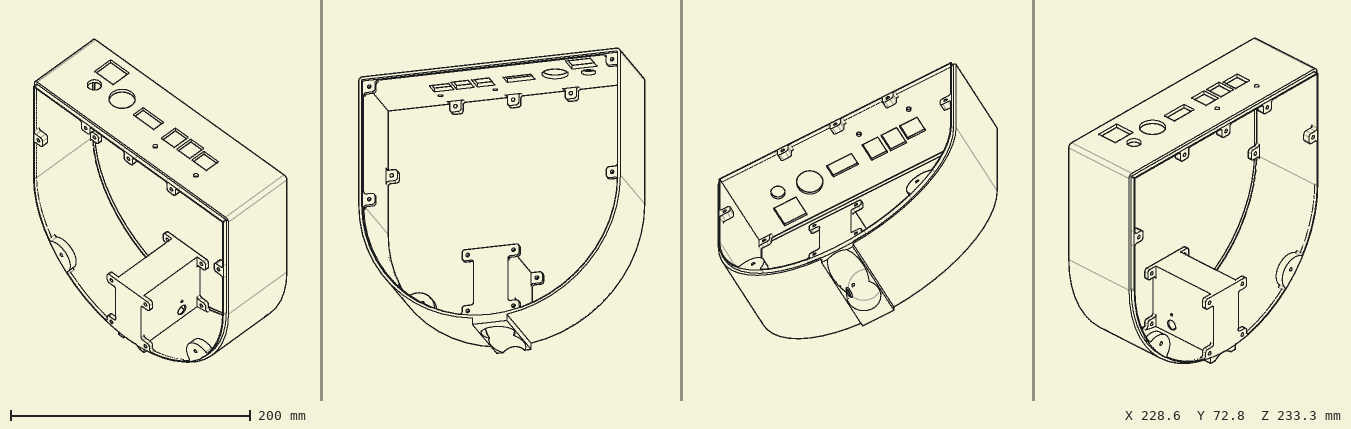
import cadquery as cq
import math

outer_radius = 114.3
height = 233.3
depth = 72.8
wall = 3.5
corner_radius = 3.5
front = -depth / 2
back = depth / 2
inner_radius = outer_radius - wall

lip_length = 3.5
lip_inset = 2.5
rebate_depth = 3.0
shoulder = front + lip_length
rebate_floor = back - rebate_depth

tab_width = 10.0
tab_length = 9.8
tab_tip_radius = 2.5
tab_root_radius = 2.0
tab_embed = 0.7
front_tab_depth = 6.0
back_tab_depth = 3.5
screw_diameter = 3.0
screw_to_edge = tab_width / 2
screw_offset = inner_radius - tab_length + screw_to_edge
front_tab_spacing = 50.5
low_tab_height = tab_width / 2

pad_angle = 41.2
pad_radius = 15.2
pad_depth = 7.0
pad_centre_radius = 111.0
pad_screw_radius = 104.0
pad_screw_angle = 40.7

box_width = 30.0
box_top = -50.0
foot_bottom = outer_radius - height
box_tab_reach = 25.0
box_tab_depth = 3.5
lower_box_tab_top = -100.0
pivot_y = 12.0
pivot_z = -100.5
pin_diameter = 9.0
small_hole_diameter = 2.0
small_hole_rise = 10.0
bore_diameter = 28.5
arm_tilt = 35.2

window_openings = [
    (-75.0, 19.4, 21.7, 19.0),
    (-15.5, 2.8, 24.0, 11.7),
    (15.9, 2.5, 15.2, 16.5),
    (34.0, 2.5, 15.2, 16.5),
    (52.7, 1.5, 17.0, 14.2),
]
round_openings = [
    (-75.0, -1.5, 12.0),
    (-47.1, 3.5, 22.0),
    (11.2, -15.9, 4.0),
    (59.0, -15.9, 4.0),
]


def plane_at(y):
    """XZ plane at the given Y; a negative extrusion from it goes toward +Y."""
    return cq.Workplane(cq.Plane(origin=(0, y, 0), xDir=(1, 0, 0), normal=(0, -1, 0)))


def ring_solid(inset, y_start, y_end):
    """Solid of the housing outline moved inward by inset."""
    radius = outer_radius - inset
    solid = (
        plane_at(y_start)
        .moveTo(-radius, 0)
        .lineTo(-radius, radius)
        .lineTo(radius, radius)
        .lineTo(radius, 0)
        .threePointArc((0, -radius), (-radius, 0))
        .close()
        .extrude(y_start - y_end)
    )
    if inset < corner_radius:
        solid = solid.edges("|Y and >Z").fillet(corner_radius - inset)
    return solid


def block(x_min, x_max, z_min, z_max, y_start, y_end):
    size = (x_max - x_min, y_end - y_start, z_max - z_min)
    return cq.Workplane("XY").box(*size, centered=False).translate((x_min, y_start, z_min))


def rod(x, z, diameter, y_start, y_end):
    return plane_at(y_start).center(x, z).circle(diameter / 2).extrude(y_start - y_end)


def fillet_at(solid, points, radius):
    """Round the Y-direction edges that pass closest to the given points."""
    for point in points:
        edge = solid.edges("|Y").edges(cq.selectors.NearestToPointSelector(point))
        solid = edge.fillet(radius)
    return solid


def make_ring():
    ring = ring_solid(0, shoulder, back).union(ring_solid(lip_inset, front, back))
    ring = ring.cut(ring_solid(wall, front, back))
    return ring.cut(ring_solid(lip_inset, rebate_floor, back))


def add_wall_tab(solid, direction, along, y_start, y_end):
    """Tab on the top wall (direction 0) or the left or right wall (-1 or +1), with its screw hole.

    Its centre is at X = along on the top wall, or at Z = along on a side wall.
    """
    half = tab_width / 2
    middle_y = (y_start + y_end) / 2
    tip = inner_radius - tab_length
    root = inner_radius + tab_embed
    tab = block(along - half, along + half, tip, root, y_start, y_end)
    tab = tab.edges("|Y and <Z").fillet(tab_tip_radius)
    tab = tab.cut(rod(along, screw_offset, screw_diameter, y_start, y_end))
    roots = [(along - half, middle_y, inner_radius), (along + half, middle_y, inner_radius)]
    if direction:
        tab = tab.rotate((0, 0, 0), (0, 1, 0), -90)
        if direction > 0:
            tab = tab.mirror("YZ")
        roots = [(direction * reach, y, height_on_wall) for height_on_wall, y, reach in roots]
    return fillet_at(solid.union(tab), roots, tab_root_radius)


def add_corner_tab(solid, side):
    y_start = rebate_floor - back_tab_depth
    tip = inner_radius - tab_length
    root = inner_radius + tab_embed
    middle_y = (y_start + rebate_floor) / 2
    tab = block(tip, root, tip, root, y_start, rebate_floor)
    tab = tab.edges("|Y and <X and <Z").fillet(tab_tip_radius)
    tab = tab.cut(rod(screw_offset, screw_offset, screw_diameter, y_start, rebate_floor))
    if side < 0:
        tab = tab.mirror("YZ")
    roots = [(side * tip, middle_y, inner_radius), (side * inner_radius, middle_y, tip)]
    return fillet_at(solid.union(tab), roots, tab_root_radius)


def add_pad(solid, side):
    y_end = front + pad_depth
    angle = math.radians(pad_angle)
    screw_angle = math.radians(pad_screw_angle)
    centre_x = side * pad_centre_radius * math.cos(angle)
    centre_z = -pad_centre_radius * math.sin(angle)
    screw_x = side * pad_screw_radius * math.cos(screw_angle)
    screw_z = -pad_screw_radius * math.sin(screw_angle)
    pad = rod(centre_x, centre_z, 2 * pad_radius, front, y_end)
    pad = pad.intersect(ring_solid(lip_inset, front, y_end))
    pad = pad.cut(rod(screw_x, screw_z, screw_diameter, front, y_end))
    spread = math.acos(
        (pad_centre_radius**2 + inner_radius**2 - pad_radius**2)
        / (2 * pad_centre_radius * inner_radius)
    )
    roots = [
        (
            side * inner_radius * math.cos(angle + turn),
            (front + y_end) / 2,
            -inner_radius * math.sin(angle + turn),
        )
        for turn in (-spread, spread)
    ]
    return fillet_at(solid.union(pad), roots, tab_root_radius)


def add_box(solid):
    half = box_width / 2
    box = block(-half, half, -outer_radius, box_top, front, rebate_floor)
    box = box.intersect(ring_solid(lip_inset, front, rebate_floor))
    foot = block(-half, half, foot_bottom, -inner_radius, shoulder, back)
    foot = foot.cut(ring_solid(wall / 2, shoulder, back))
    return solid.union(box).union(foot)


def add_box_tabs(solid, y_start, y_end):
    """Four tabs beside the box, the lower two running down into the round wall."""
    middle_y = (y_start + y_end) / 2
    half = box_width / 2
    reach = box_tab_reach
    upper = block(-reach, reach, box_top - tab_width, box_top, y_start, y_end)
    upper = upper.edges("|Y").fillet(tab_tip_radius)
    lower = block(-reach, reach, -outer_radius, lower_box_tab_top, y_start, y_end)
    lower = lower.edges("|Y and >Z").fillet(tab_tip_radius)
    lower = lower.intersect(ring_solid(lip_inset, y_start, y_end))
    solid = solid.union(upper).union(lower)
    wall_z = -math.sqrt(inner_radius**2 - reach**2)
    for side in (-1, 1):
        roots = [
            (side * half, middle_y, box_top - tab_width),
            (side * half, middle_y, lower_box_tab_top),
            (side * reach, middle_y, wall_z),
        ]
        solid = fillet_at(solid, roots, tab_root_radius)
        for top in (box_top, lower_box_tab_top):
            x = side * (reach - screw_to_edge)
            solid = solid.cut(rod(x, top - screw_to_edge, screw_diameter, y_start, y_end))
    return solid


def arm_bore(tilt):
    """Round-ended bore from the pivot, hanging down and tilted toward the front."""
    radius = bore_diameter / 2
    bore = cq.Workplane("XY").circle(radius).extrude(-depth).union(cq.Workplane("XY").sphere(radius))
    return bore.rotate((0, 0, 0), (1, 0, 0), -tilt).translate((0, pivot_y, pivot_z))


def cross_hole(z, diameter):
    """Hole running across the box, in line with the pivot."""
    return cq.Workplane("YZ").center(pivot_y, z).circle(diameter / 2).extrude(box_width, both=True)


def top_openings():
    sheet = cq.Workplane("XY").workplane(offset=inner_radius)
    cutter = cq.Workplane("XY")
    for x, y, size_x, size_y in window_openings:
        cutter = cutter.add(sheet.center(x, y).rect(size_x, size_y).extrude(wall))
    for x, y, diameter in round_openings:
        cutter = cutter.add(sheet.center(x, y).circle(diameter / 2).extrude(wall))
    return cutter.combine()


front_tab_end = front + front_tab_depth
back_tab_start = rebate_floor - back_tab_depth

body = add_box(make_ring())
for position in (-front_tab_spacing, 0, front_tab_spacing):
    body = add_wall_tab(body, 0, position, front, front_tab_end)
for side in (-1, 1):
    body = add_wall_tab(body, side, front_tab_spacing, front, front_tab_end)
    body = add_wall_tab(body, side, low_tab_height, back_tab_start, rebate_floor)
    body = add_corner_tab(body, side)
    body = add_pad(body, side)
body = add_box_tabs(body, front, front + box_tab_depth)
body = add_box_tabs(body, rebate_floor - box_tab_depth, rebate_floor)
body = body.cut(arm_bore(0)).cut(arm_bore(90 - arm_tilt))
body = body.cut(cross_hole(pivot_z, pin_diameter))
body = body.cut(cross_hole(pivot_z + small_hole_rise, small_hole_diameter))

result = body.cut(top_openings())